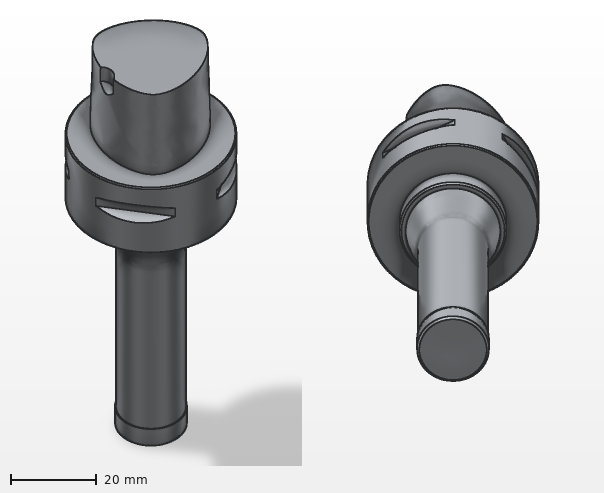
import cadquery as cq
import math

TOTAL_LENGTH = 113.0

SHANK_HEIGHT = 24.0
COLLAR_HEIGHT = 2.5
POLYGON_MEAN_RADIUS = 14.0
POLYGON_LOBE = 1.0
RADIUS_TAPER = 1 / 40
POLYGON_POINTS = 48

NOTCH_RADIUS = 3.3
NOTCH_AXIS_Y = -14.1
NOTCH_DEPTH = 4.3
NOTCH_CONE_HEIGHT = NOTCH_RADIUS

FLANGE_DIAMETER = 40.0
FLANGE_HEIGHT = 19.9
EDGE_CHAMFER = 0.3

GROOVE_COUNT = 4
GROOVE_FIRST_ANGLE = 45
GROOVE_DROP = 8.0
GROOVE_FLOOR_HEIGHT = 2.5
GROOVE_MOUTH_HEIGHT = 5.4
GROOVE_DEPTH = 2.4

NECK_DIAMETER = 25.0
NECK_HEIGHT = 5.1
NECK_CHAMFER = 0.5
STUB_DIAMETER = 22.0
STUB_HEIGHT = 1.8
CONE_HEIGHT = 7.1
SHAFT_DIAMETER = 16.4
CONE_BLEND_RADIUS = 5.0

TIP_LENGTH = 5.8
TIP_DIAMETER = 16.8
TIP_CHAMFER = 0.6
TIP_POINT_HEIGHT = 0.2

BOTTOM_Z = SHANK_HEIGHT - TOTAL_LENGTH
TIP_TOP_Z = BOTTOM_Z + TIP_LENGTH
FLANGE_BOTTOM_Z = -FLANGE_HEIGHT
NECK_BOTTOM_Z = FLANGE_BOTTOM_Z - NECK_HEIGHT
CONE_TOP_Z = NECK_BOTTOM_Z - STUB_HEIGHT
CONE_BOTTOM_Z = CONE_TOP_Z - CONE_HEIGHT


def polygon_wire(mean_radius, z):
    """Closed three-lobed curve with one lobe pointing to +Y."""
    points = []
    for i in range(POLYGON_POINTS):
        t = 2 * math.pi * i / POLYGON_POINTS
        along = mean_radius * math.cos(t) - POLYGON_LOBE * (2 * math.cos(2 * t) - math.cos(4 * t))
        across = mean_radius * math.sin(t) + POLYGON_LOBE * (2 * math.sin(2 * t) + math.sin(4 * t))
        points.append(cq.Vector(across, -along, z))
    return cq.Wire.assembleEdges([cq.Edge.makeSpline(points, periodic=True)])


def make_shank():
    """Straight collar and tapered polygon, notched at the top edge."""
    foot = polygon_wire(POLYGON_MEAN_RADIUS, 0)
    collar_top = polygon_wire(POLYGON_MEAN_RADIUS, COLLAR_HEIGHT)
    top_radius = POLYGON_MEAN_RADIUS - (SHANK_HEIGHT - COLLAR_HEIGHT) * RADIUS_TAPER
    top = polygon_wire(top_radius, SHANK_HEIGHT)
    collar = cq.Workplane(cq.Solid.makeLoft([foot, collar_top], True))
    taper = cq.Workplane(cq.Solid.makeLoft([collar_top, top], True))
    return collar.union(taper).cut(make_notch())


def make_notch():
    """Cylinder with a drill point, turned about its own axis."""
    shoulder_z = SHANK_HEIGHT - NOTCH_DEPTH
    profile = [
        (0, SHANK_HEIGHT),
        (NOTCH_RADIUS, SHANK_HEIGHT),
        (NOTCH_RADIUS, shoulder_z),
        (0, shoulder_z - NOTCH_CONE_HEIGHT),
    ]
    notch = cq.Workplane("XZ").polyline(profile).close().revolve(360, (0, 0), (0, 1))
    return notch.translate((0, NOTCH_AXIS_Y, 0))


def make_flange():
    """Flange disc with chamfered rims and the gripper grooves cut in."""
    flange = cq.Workplane("XY").circle(FLANGE_DIAMETER / 2).extrude(-FLANGE_HEIGHT)
    flange = flange.edges("%CIRCLE").chamfer(EDGE_CHAMFER)
    groove = make_groove()
    for i in range(GROOVE_COUNT):
        angle = GROOVE_FIRST_ANGLE + i * 360 / GROOVE_COUNT
        flange = flange.cut(groove.rotate((0, 0, 0), (0, 0, 1), angle))
    return flange


def make_groove():
    """Straight trapezoid groove along Y on the +X side of the flange."""
    rim = FLANGE_DIAMETER / 2
    floor = rim - GROOVE_DEPTH
    profile = [
        (floor, -GROOVE_DROP - GROOVE_FLOOR_HEIGHT / 2),
        (rim, -GROOVE_DROP - GROOVE_MOUTH_HEIGHT / 2),
        (rim, -GROOVE_DROP + GROOVE_MOUTH_HEIGHT / 2),
        (floor, -GROOVE_DROP + GROOVE_FLOOR_HEIGHT / 2),
    ]
    return cq.Workplane("XZ").polyline(profile).close().extrude(rim, both=True)


def make_neck():
    """Round neck under the flange, chamfered at its lower rim."""
    flange_face = cq.Workplane("XY", origin=(0, 0, FLANGE_BOTTOM_Z))
    neck = flange_face.circle(NECK_DIAMETER / 2).extrude(-NECK_HEIGHT)
    return neck.faces("<Z").edges().chamfer(NECK_CHAMFER)


def make_shaft():
    """Stub, cone with blended ends and long shaft, ending flat on the tip."""
    stub_radius = STUB_DIAMETER / 2
    shaft_radius = SHAFT_DIAMETER / 2
    profile = [
        (0, NECK_BOTTOM_Z),
        (stub_radius, NECK_BOTTOM_Z),
        (stub_radius, CONE_TOP_Z),
        (shaft_radius, CONE_BOTTOM_Z),
        (shaft_radius, TIP_TOP_Z),
        (0, TIP_TOP_Z),
    ]
    shaft = cq.Workplane("XZ").polyline(profile).close().revolve(360, (0, 0), (0, 1))
    above_cone = NECK_BOTTOM_Z - STUB_HEIGHT / 2
    below_cone = CONE_BOTTOM_Z - STUB_HEIGHT / 2
    cone_ends = cq.selectors.BoxSelector(
        (-stub_radius, -stub_radius, below_cone),
        (stub_radius, stub_radius, above_cone),
    )
    return shaft.edges("%CIRCLE").edges(cone_ends).fillet(CONE_BLEND_RADIUS)


def make_holder():
    """Shank, flange, neck and shaft as one solid."""
    return make_shank().union(make_flange()).union(make_neck()).union(make_shaft())


def make_tip():
    """Cutting tip: cylinder with a lead chamfer and a shallow point."""
    radius = TIP_DIAMETER / 2
    face_z = BOTTOM_Z + TIP_POINT_HEIGHT
    profile = [
        (0, TIP_TOP_Z),
        (radius, TIP_TOP_Z),
        (radius, face_z + TIP_CHAMFER),
        (radius - TIP_CHAMFER, face_z),
        (0, BOTTOM_Z),
    ]
    return cq.Workplane("XZ").polyline(profile).close().revolve(360, (0, 0), (0, 1))


holder = make_holder()
tip = make_tip()
result = cq.Compound.makeCompound([holder.val(), tip.val()])